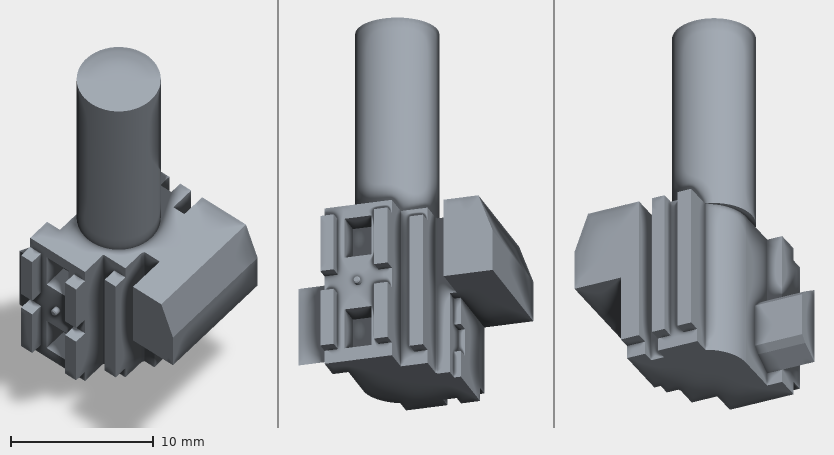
import cadquery as cq


TOTAL_HEIGHT = 26.97
BODY_HEIGHT = 11.9
MODULE = BODY_HEIGHT / 12

PLATE_WIDTH = 5 * MODULE
SHOULDER_X = 7 * MODULE
BODY_RIGHT = 8.5 * MODULE
BACK_LEFT = 3 * MODULE
BACK_Y = 10.5
SHOULDER_Y = 2.05
INNER_CORNER_Y = 4.05
NOTCH_X = 1.15
NOTCH_Y = 1.9

COLUMN_DIAMETER = 6.18
POST_DIAMETER = 5.9
AXIS_Y = 5.37
COLUMN_X = NOTCH_X + COLUMN_DIAMETER / 2
POST_X = 3.65

SHALLOW_SLOT_X = 4.05
DEEP_SLOT_X = SHALLOW_SLOT_X + 2 * MODULE

FLANGE_RIGHT = 12.03
FLANGE_FRONT_Y = 1.08
FLANGE_BOTTOM = 6.05
FLANGE_SLOPE_RUN = 1.05
FLANGE_SLOPE_DROP = 2.83

RELIEF_WIDTH = BODY_RIGHT - 8 * MODULE
RELIEF_WINDOW_BOTTOM = 2 * MODULE
RELIEF_WINDOW_TOP = 4.05

WING_LEFT = -2.5
WING_BACK_Y = 3.88
WING_BEVEL_Y = 3.4
WING_BOTTOM = MODULE
WING_TOP = 6.85
WING_LOWER_BEND = 1.73
WING_UPPER_BEND = 5.93
WING_BACK_BOTTOM = 2.18
WING_BACK_TOP = 5.45

TAB_BOTTOM = MODULE
TAB_TOP = BODY_HEIGHT - MODULE
TAB_GAP = 1.5 * MODULE
SHOULDER_TAB_DEPTH = 1.08
POCKET_LEFT = 1.5 * MODULE
POCKET_WIDTH = 2 * MODULE
POCKET_HEIGHT = 3 * MODULE
POCKET_DEPTH = NOTCH_Y
PIN_DIAMETER = 0.5
PIN_LENGTH = 0.49
PIN_CHAMFER = 0.08


def block(x0, x1, y0, y1, z0, z1):
    """Box between two opposite corners."""
    return cq.Workplane("XY").box(x1 - x0, y1 - y0, z1 - z0, centered=False).translate((x0, y0, z0))


def make_body():
    outline = [
        (0, 0),
        (PLATE_WIDTH, 0),
        (PLATE_WIDTH, SHOULDER_Y),
        (SHOULDER_X, SHOULDER_Y),
        (SHOULDER_X, INNER_CORNER_Y),
        (BODY_RIGHT, INNER_CORNER_Y),
        (BODY_RIGHT, BACK_Y),
        (BACK_LEFT, BACK_Y),
        (BACK_LEFT, AXIS_Y),
        (NOTCH_X, AXIS_Y),
        (NOTCH_X, NOTCH_Y),
        (0, NOTCH_Y),
    ]
    body = cq.Workplane("XY").polyline(outline).close().extrude(BODY_HEIGHT)
    column = cq.Workplane("XY").center(COLUMN_X, AXIS_Y).circle(COLUMN_DIAMETER / 2).extrude(BODY_HEIGHT)
    bottom_step = block(BACK_LEFT, BODY_RIGHT, BACK_Y - MODULE, BACK_Y, 0, MODULE)
    return body.union(column).cut(bottom_step)


def make_post():
    post = cq.Workplane("XY").center(POST_X, AXIS_Y).circle(POST_DIAMETER / 2)
    return post.extrude(TOTAL_HEIGHT - BODY_HEIGHT).translate((0, 0, BODY_HEIGHT))


def make_flange():
    """Block on the right with a sloped upper corner."""
    profile = [
        (BODY_RIGHT, FLANGE_BOTTOM),
        (FLANGE_RIGHT, FLANGE_BOTTOM),
        (FLANGE_RIGHT, BODY_HEIGHT - FLANGE_SLOPE_DROP),
        (FLANGE_RIGHT - FLANGE_SLOPE_RUN, BODY_HEIGHT),
        (BODY_RIGHT, BODY_HEIGHT),
    ]
    flange = cq.Workplane("XZ").polyline(profile).close().extrude(FLANGE_FRONT_Y - BACK_Y)
    return flange.translate((0, FLANGE_FRONT_Y, 0))


def make_wing():
    """Bar on the left whose section narrows in two steps towards the back."""
    section = [
        (NOTCH_Y, WING_BOTTOM),
        (WING_BEVEL_Y, WING_LOWER_BEND),
        (WING_BACK_Y, WING_BACK_BOTTOM),
        (WING_BACK_Y, WING_BACK_TOP),
        (WING_BEVEL_Y, WING_UPPER_BEND),
        (NOTCH_Y, WING_TOP),
    ]
    wing = cq.Workplane("YZ").polyline(section).close().extrude(NOTCH_X - WING_LEFT)
    return wing.translate((WING_LEFT, 0, 0))


def make_tabs():
    """Two front rails, each interrupted at mid height, and one full rail on the shoulder."""
    middle = BODY_HEIGHT / 2
    shoulder_front = SHOULDER_Y - SHOULDER_TAB_DEPTH
    tabs = block(SHOULDER_X - MODULE, SHOULDER_X, shoulder_front, SHOULDER_Y, TAB_BOTTOM, TAB_TOP)
    for left in (0, PLATE_WIDTH - MODULE):
        for bottom, top in ((TAB_BOTTOM, middle - TAB_GAP / 2), (middle + TAB_GAP / 2, TAB_TOP)):
            tabs = tabs.union(block(left, left + MODULE, -MODULE, 0, bottom, top))
    return tabs


def make_pin():
    pin = cq.Workplane("XZ").center(PLATE_WIDTH / 2, BODY_HEIGHT / 2).circle(PIN_DIAMETER / 2)
    return pin.extrude(PIN_LENGTH).faces("<Y").chamfer(PIN_CHAMFER)


def cut_pockets(part):
    for bottom in (TAB_BOTTOM, TAB_TOP - POCKET_HEIGHT):
        top = bottom + POCKET_HEIGHT
        part = part.cut(block(POCKET_LEFT, POCKET_LEFT + POCKET_WIDTH, 0, POCKET_DEPTH, bottom, top))
    return part


def cut_back_slots(part):
    for left, depth in ((SHALLOW_SLOT_X, MODULE), (DEEP_SLOT_X, 2 * MODULE)):
        part = part.cut(block(left, left + MODULE, BACK_Y - depth, BACK_Y, 0, BODY_HEIGHT))
    return part


def cut_corner_relief(part):
    """Step in the corner below the flange, deeper across its middle window."""
    left = BODY_RIGHT - RELIEF_WIDTH
    for bottom, top, depth in (
        (0, FLANGE_BOTTOM, MODULE),
        (RELIEF_WINDOW_BOTTOM, RELIEF_WINDOW_TOP, 2 * MODULE),
    ):
        part = part.cut(block(left, BODY_RIGHT, INNER_CORNER_Y, INNER_CORNER_Y + depth, bottom, top))
    return part


result = make_body()
for feature in (make_post(), make_flange(), make_wing(), make_tabs(), make_pin()):
    result = result.union(feature)
result = cut_pockets(result)
result = cut_back_slots(result)
result = cut_corner_relief(result)